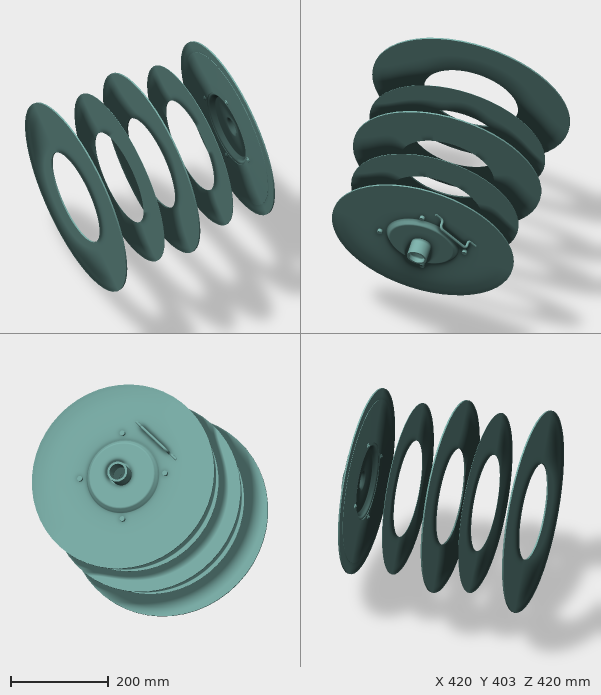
import cadquery as cq
import math


PLATE_RADIUS = 193.0
PLATE_THICKNESS = 3.0
DISH_MOUTH_RADIUS = 75.5
DISH_CAP_RADIUS = 67.0
DISH_DEPTH = 9.7
INNER_BEND_RADIUS = 1.5
HUB_RADIUS = 21.0
HUB_BORE_RADIUS = 16.5
HUB_MOUTH_FILLET = 5.5
HUB_TOP = 44.0

DISC_RADIUS = 170.0
DISC_BORE_RADIUS = 80.5
DISC_SEAT_RADIUS = 100.0
DISC_RIM_THICKNESS = 0.6
DISC_SEAT_THICKNESS = 1.4

BOLT_COUNT = 4
BOLT_CIRCLE_RADIUS = 90.0
BOLT_HEAD_RADIUS = 5.2
BOLT_HEAD_HEIGHT = 6.5
BOLT_SHANK_RADIUS = 2.4
NUT_HEIGHT = 2.0
BOLT_TIP_LENGTH = 1.6

ROD_RADIUS = 2.75
HANDLE_DISTANCE = 100.0
HANDLE_ANGLE = 45.0
LEG_SPACING = 77.0
HANDLE_HEIGHT = 23.2
GRIP_BEND_RADIUS = 7.5
FOOT_BEND_RADIUS = 8.0
FOOT_LENGTH = 21.0

STACK_LENGTH = 403.0
RING_BORE_RADIUS = 100.0
RINGS = [
    (178.0, 1.0, -90.5),
    (200.0, 3.0, -182.0),
    (187.0, 0.5, -256.0),
    (210.0, 3.0, HUB_TOP - STACK_LENGTH),
]

OUTER_BEND_RADIUS = INNER_BEND_RADIUS + PLATE_THICKNESS
DISH_SLOPE_ANGLE = math.atan2(DISH_DEPTH, DISH_MOUTH_RADIUS - DISH_CAP_RADIUS)
DISH_CORNER_SHIFT = PLATE_THICKNESS * math.tan(DISH_SLOPE_ANGLE / 2)
DISH_CAP_FRONT = DISH_DEPTH - PLATE_THICKNESS

DISC_FRONT = -PLATE_THICKNESS - DISC_SEAT_THICKNESS

SECTION = cq.Plane(origin=(0, 0, 0), xDir=(-1, 0, 0), normal=(0, 0, -1))


def turned(profile):
    return profile.close().revolve(360, (0, 0), (0, 1))


def cylinder(radius, y_start, y_end, x=0.0, z=0.0):
    base = cq.Workplane("XZ", origin=(0, y_start, 0)).center(x, z)
    return base.circle(radius).extrude(y_start - y_end)


def round_circle(part, circle_radius, y, fillet_radius):
    """Fillet the circular edge of the given radius around the Y axis at height y."""
    tolerance = 0.01
    rim = [
        edge
        for edge in part.edges("%CIRCLE").vals()
        if abs(edge.radius() - circle_radius) < tolerance and abs(edge.Center().y - y) < tolerance
    ]
    return part.newObject(rim).fillet(fillet_radius)


def make_plate_blank():
    cap_back_radius = DISH_CAP_RADIUS + DISH_CORNER_SHIFT
    mouth_back_radius = DISH_MOUTH_RADIUS + DISH_CORNER_SHIFT
    profile = (
        cq.Workplane(SECTION)
        .moveTo(HUB_BORE_RADIUS, HUB_TOP)
        .lineTo(HUB_RADIUS, HUB_TOP)
        .lineTo(HUB_RADIUS, DISH_DEPTH)
        .lineTo(cap_back_radius, DISH_DEPTH)
        .lineTo(mouth_back_radius, 0)
        .lineTo(PLATE_RADIUS, 0)
        .lineTo(PLATE_RADIUS, -PLATE_THICKNESS)
        .lineTo(DISH_MOUTH_RADIUS, -PLATE_THICKNESS)
        .lineTo(DISH_CAP_RADIUS, DISH_CAP_FRONT)
        .lineTo(HUB_BORE_RADIUS, DISH_CAP_FRONT)
    )
    blank = turned(profile)
    blank = round_circle(blank, HUB_BORE_RADIUS, DISH_CAP_FRONT, HUB_MOUTH_FILLET)
    blank = round_circle(blank, DISH_CAP_RADIUS, DISH_CAP_FRONT, INNER_BEND_RADIUS)
    blank = round_circle(blank, cap_back_radius, DISH_DEPTH, OUTER_BEND_RADIUS)
    blank = round_circle(blank, DISH_MOUTH_RADIUS, -PLATE_THICKNESS, OUTER_BEND_RADIUS)
    return round_circle(blank, mouth_back_radius, 0, INNER_BEND_RADIUS)


def bolt_places():
    for i in range(BOLT_COUNT):
        angle = 2 * math.pi * i / BOLT_COUNT
        yield BOLT_CIRCLE_RADIUS * math.cos(angle), BOLT_CIRCLE_RADIUS * math.sin(angle)


def make_bolt(x, z):
    nut_front = DISC_FRONT - NUT_HEIGHT
    head = cylinder(BOLT_HEAD_RADIUS, 0, BOLT_HEAD_HEIGHT, x, z)
    shank = cylinder(BOLT_SHANK_RADIUS, 0, nut_front - BOLT_TIP_LENGTH, x, z)
    nut = cylinder(BOLT_HEAD_RADIUS, DISC_FRONT, nut_front, x, z)
    return head.union(shank).union(nut)


def make_handle():
    angle = math.radians(HANDLE_ANGLE)
    middle = (-HANDLE_DISTANCE * math.cos(angle), 0, HANDLE_DISTANCE * math.sin(angle))
    along = (math.sin(angle), 0, math.cos(angle))
    outward = (-math.cos(angle), 0, math.sin(angle))
    plane = cq.Plane(origin=middle, xDir=along, normal=outward)
    leg = LEG_SPACING / 2
    foot_end = leg + FOOT_LENGTH
    grip = HANDLE_HEIGHT - ROD_RADIUS
    path = (
        cq.Workplane(plane)
        .moveTo(-foot_end, 0)
        .lineTo(-leg - FOOT_BEND_RADIUS, 0)
        .tangentArcPoint((-leg, FOOT_BEND_RADIUS), relative=False)
        .lineTo(-leg, grip - GRIP_BEND_RADIUS)
        .tangentArcPoint((-leg + GRIP_BEND_RADIUS, grip), relative=False)
        .lineTo(leg - GRIP_BEND_RADIUS, grip)
        .tangentArcPoint((leg, grip - GRIP_BEND_RADIUS), relative=False)
        .lineTo(leg, FOOT_BEND_RADIUS)
        .tangentArcPoint((leg + FOOT_BEND_RADIUS, 0), relative=False)
        .lineTo(foot_end, 0)
    )
    start = plane.toWorldCoords((-foot_end, 0, 0))
    rod = cq.Workplane(cq.Plane(origin=start, normal=along)).circle(ROD_RADIUS)
    return rod.sweep(path)


def make_plate():
    plate = make_plate_blank().union(make_handle())
    for x, z in bolt_places():
        plate = plate.union(make_bolt(x, z))
    return plate


def make_disc():
    back = -PLATE_THICKNESS
    profile = (
        cq.Workplane(SECTION)
        .moveTo(DISC_BORE_RADIUS, back)
        .lineTo(DISC_RADIUS, back)
        .lineTo(DISC_RADIUS, back - DISC_RIM_THICKNESS)
        .lineTo(DISC_SEAT_RADIUS, DISC_FRONT)
        .lineTo(DISC_BORE_RADIUS, DISC_FRONT)
    )
    disc = turned(profile)
    for x, z in bolt_places():
        disc = disc.cut(cylinder(BOLT_SHANK_RADIUS, back, DISC_FRONT, x, z))
    return disc


def make_ring(outer_radius, thickness, front):
    ring = cylinder(outer_radius, front, front + thickness)
    return ring.cut(cylinder(RING_BORE_RADIUS, front, front + thickness))


plate = make_plate()
disc = make_disc()
rings = [make_ring(*sizes) for sizes in RINGS]

result = cq.Compound.makeCompound([plate.val(), disc.val(), *[ring.val() for ring in rings]])